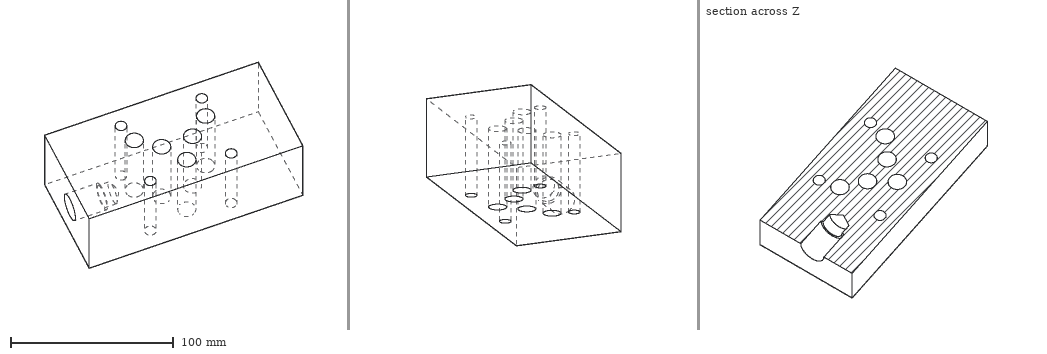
import cadquery as cq
import math

BLOCK_WIDTH = 69.9
BLOCK_LENGTH = 142.9
BLOCK_HEIGHT = 50.9

PATTERN_Y = 1.6
BOLT_DIAMETER = 7.1
BOLT_SPACING_X = 46.0
BOLT_SPACING_Y = 54.0
PORT_DIAMETER = 11.1
SINGLE_PORT_X = 16.7
INNER_PORT_X = 1.6
INNER_PORT_SPACING_Y = 20.6
OUTER_PORT_X = -9.6
OUTER_PORT_SPACING_Y = 47.7

PRESSURE_PORT_X = 4.7
PRESSURE_PORT_Z = 0.0
BORE_DIAMETER = 17.3
BORE_DEPTH = 21.5
DRILL_DIAMETER = 14.3
DRILL_DEPTH = 28.6
DRILL_POINT_ANGLE = 118.0


def mirrored_pair(x, spacing):
    """Two points at the same X, spaced evenly about the pattern centreline."""
    return [(x, PATTERN_Y + side * spacing / 2) for side in (-1, 1)]


def pressure_port():
    """Revolved cutter: wide bore, flat step, narrower drilling and conical end."""
    bore_radius = BORE_DIAMETER / 2
    drill_radius = DRILL_DIAMETER / 2
    point_length = drill_radius / math.tan(math.radians(DRILL_POINT_ANGLE / 2))
    return (
        cq.Workplane("XY")
        .moveTo(0, 0)
        .lineTo(bore_radius, 0)
        .lineTo(bore_radius, BORE_DEPTH)
        .lineTo(drill_radius, BORE_DEPTH)
        .lineTo(drill_radius, DRILL_DEPTH)
        .lineTo(0, DRILL_DEPTH + point_length)
        .close()
        .revolve(360, (0, 0), (0, 1))
        .translate((PRESSURE_PORT_X, -BLOCK_LENGTH / 2, PRESSURE_PORT_Z))
    )


bolt_points = []
for bolt_x in (-BOLT_SPACING_X / 2, BOLT_SPACING_X / 2):
    bolt_points += mirrored_pair(bolt_x, BOLT_SPACING_Y)

port_points = [(SINGLE_PORT_X, PATTERN_Y)]
port_points += mirrored_pair(INNER_PORT_X, INNER_PORT_SPACING_Y)
port_points += mirrored_pair(OUTER_PORT_X, OUTER_PORT_SPACING_Y)

block = cq.Workplane("XY").box(BLOCK_WIDTH, BLOCK_LENGTH, BLOCK_HEIGHT)

block = block.faces(">Z").workplane(origin=(0, 0, 0)).pushPoints(bolt_points).hole(BOLT_DIAMETER)
block = block.faces(">Z").workplane(origin=(0, 0, 0)).pushPoints(port_points).hole(PORT_DIAMETER)

result = block.cut(pressure_port())